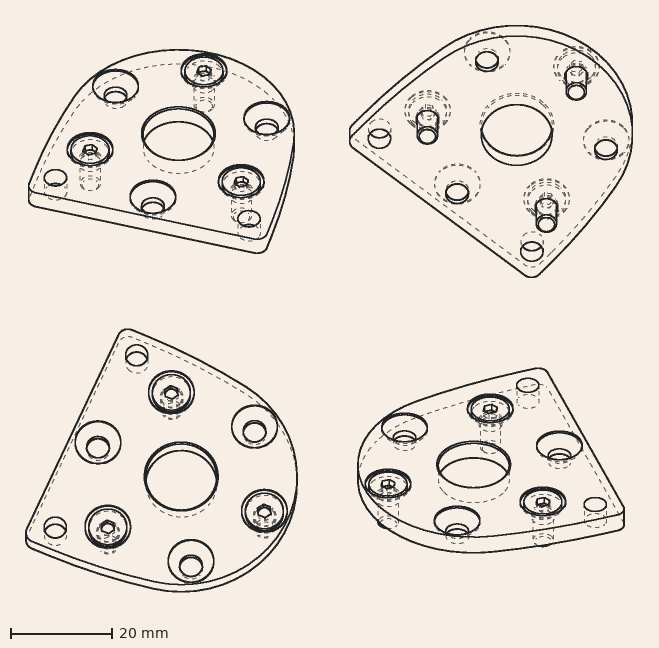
import cadquery as cq
import math

PLATE_WIDTH = 49.0
PLATE_THICKNESS = 4.0
TOP_RADIUS = 22.95
SIDE_RADIUS = 125.0
BOTTOM_EDGE_Y = -23.45
CORNER_RADIUS = 2.0

BORE_DIAMETER = 14.0
BORE_CHAMFER = 0.3

HOLE_COUNT = 6
RING_RADIUS = 18.0
CLEARANCE_DIAMETER = 4.5
SINK_DIAMETER = 9.0
SINK_RIM_DEPTH = 0.45

CORNER_HOLE_DIAMETER = 4.4
CORNER_HOLE_X = 19.95
CORNER_HOLE_Y = -18.4

SCREW_LENGTH = 10.0
HEAD_DIAMETER = 7.55
SHANK_DIAMETER = 4.0
SHANK_PROTRUSION = 6.12
TIP_CHAMFER = 0.4
SOCKET_SIDES = 6
SOCKET_ACROSS_FLATS = 2.5
SOCKET_DEPTH = 1.4
SOCKET_POINT_DEPTH = 0.75

SINK_CONE_DEPTH = (SINK_DIAMETER - CLEARANCE_DIAMETER) / 2
HEAD_CONE_DEPTH = (HEAD_DIAMETER - SHANK_DIAMETER) / 2
HEAD_TOP_Z = SCREW_LENGTH - SHANK_PROTRUSION

HEAD_SEAT_Z = PLATE_THICKNESS - SINK_RIM_DEPTH - (SINK_DIAMETER - HEAD_DIAMETER) / 2


def ring_points(first):
    """Every second position on the hole ring, starting at index first; index 0 lies on +Y."""
    angles = [math.pi / 2 + index * 2 * math.pi / HOLE_COUNT for index in range(first, HOLE_COUNT, 2)]
    return [(RING_RADIUS * math.cos(angle), RING_RADIUS * math.sin(angle)) for angle in angles]


def plate_blank():
    """Arched outline: a top arc, two shallow tangent side arcs and short straight sides."""
    half_width = PLATE_WIDTH / 2
    side_center_x = half_width - SIDE_RADIUS
    center_distance = SIDE_RADIUS - TOP_RADIUS
    side_center_y = -math.sqrt(center_distance**2 - side_center_x**2)

    touch_x = -side_center_x * TOP_RADIUS / center_distance
    touch_y = -side_center_y * TOP_RADIUS / center_distance
    mid_angle = math.atan2(touch_y - side_center_y, touch_x - side_center_x) / 2
    side_mid_x = side_center_x + SIDE_RADIUS * math.cos(mid_angle)
    side_mid_y = side_center_y + SIDE_RADIUS * math.sin(mid_angle)

    return (
        cq.Workplane("XY")
        .moveTo(-half_width, BOTTOM_EDGE_Y)
        .lineTo(half_width, BOTTOM_EDGE_Y)
        .lineTo(half_width, side_center_y)
        .threePointArc((side_mid_x, side_mid_y), (touch_x, touch_y))
        .threePointArc((0, TOP_RADIUS), (-touch_x, touch_y))
        .threePointArc((-side_mid_x, side_mid_y), (-half_width, side_center_y))
        .close()
        .extrude(PLATE_THICKNESS)
        .edges("|Z and <Y")
        .fillet(CORNER_RADIUS)
    )


def countersink_cutter():
    """Clearance hole, cone and short cylindrical rim as one revolved tool."""
    rim_z = PLATE_THICKNESS - SINK_RIM_DEPTH
    return (
        cq.Workplane("XZ")
        .lineTo(CLEARANCE_DIAMETER / 2, 0)
        .lineTo(CLEARANCE_DIAMETER / 2, rim_z - SINK_CONE_DEPTH)
        .lineTo(SINK_DIAMETER / 2, rim_z)
        .lineTo(SINK_DIAMETER / 2, PLATE_THICKNESS)
        .lineTo(0, PLATE_THICKNESS)
        .close()
        .revolve(360, (0, 0), (0, 1))
    )


def make_plate():
    plate = plate_blank()
    top_face = plate.faces(">Z").workplane(origin=(0, 0, 0))
    plate = top_face.hole(BORE_DIAMETER)
    plate = plate.faces(">Z").edges(cq.selectors.RadiusNthSelector(1)).chamfer(BORE_CHAMFER)

    corner_holes = [(-CORNER_HOLE_X, CORNER_HOLE_Y), (CORNER_HOLE_X, CORNER_HOLE_Y)]
    plate = plate.faces(">Z").workplane(origin=(0, 0, 0)).pushPoints(corner_holes).hole(CORNER_HOLE_DIAMETER)

    for x, y in ring_points(0) + ring_points(1):
        plate = plate.cut(countersink_cutter().translate((x, y, 0)))
    return plate


def make_screw():
    """Countersunk screw on the Z axis, with a hexagon socket ending in a conical drill point."""
    shank_radius = SHANK_DIAMETER / 2
    body = (
        cq.Workplane("XZ")
        .moveTo(0, -SHANK_PROTRUSION)
        .lineTo(shank_radius - TIP_CHAMFER, -SHANK_PROTRUSION)
        .lineTo(shank_radius, -SHANK_PROTRUSION + TIP_CHAMFER)
        .lineTo(shank_radius, HEAD_SEAT_Z - HEAD_CONE_DEPTH)
        .lineTo(HEAD_DIAMETER / 2, HEAD_SEAT_Z)
        .lineTo(HEAD_DIAMETER / 2, HEAD_TOP_Z)
        .lineTo(0, HEAD_TOP_Z)
        .close()
        .revolve(360, (0, 0), (0, 1))
    )
    socket_floor_z = HEAD_TOP_Z - SOCKET_DEPTH
    across_corners = SOCKET_ACROSS_FLATS / math.cos(math.pi / SOCKET_SIDES)
    socket = (
        cq.Workplane("XY", origin=(0, 0, socket_floor_z))
        .transformed(rotate=(0, 0, 90))
        .polygon(SOCKET_SIDES, across_corners)
        .extrude(SOCKET_DEPTH)
    )
    point = cq.Solid.makeCone(
        SOCKET_ACROSS_FLATS / 2, 0, SOCKET_POINT_DEPTH, cq.Vector(0, 0, socket_floor_z), cq.Vector(0, 0, -1)
    )
    return body.cut(socket).cut(cq.Workplane(obj=point))


plate = make_plate()
screws = [make_screw().translate((x, y, 0)) for x, y in ring_points(0)]

result = cq.Compound.makeCompound([plate.val(), *[screw.val() for screw in screws]])